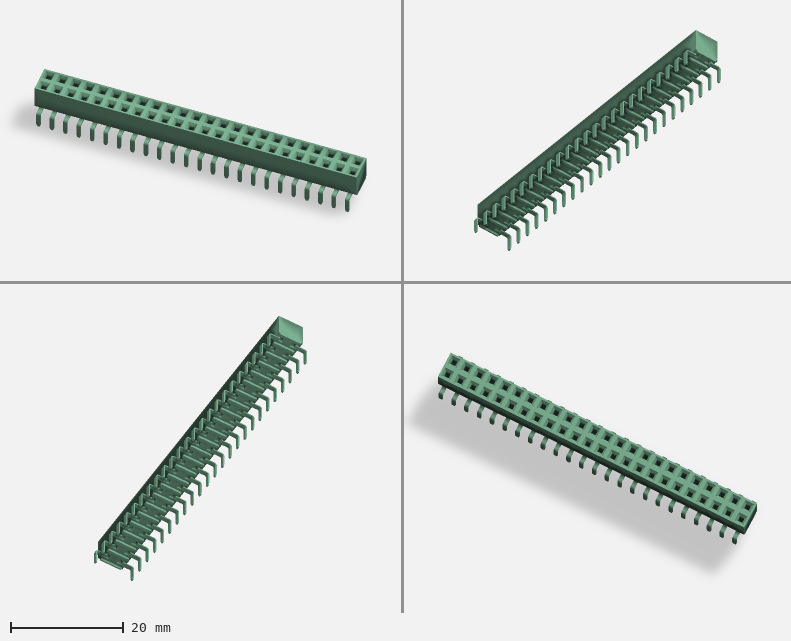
import cadquery as cq

length = 60.95
overall_depth = 7.85
overall_height = 8.0

columns = 24
pitch = length / columns
housing_depth = 5.0
housing_height = 4.6
foot_height = 0.35
foot_setback = 0.35
foot_top_width = 0.75
foot_bottom_width = 0.5

funnel_width = 1.75
funnel_depth = 0.6
hole_width = 0.9

contact_width = 0.8
contact_thickness = 0.25
bend_radius = 0.5
tip_width = 0.5
tip_height = 0.5

row_offset = pitch / 2
stem_inner_y = row_offset + hole_width / 2
contact_outer_y = overall_depth / 2
strip_bottom_z = -foot_height
strip_top_z = strip_bottom_z + contact_thickness
contact_bottom_z = housing_height - overall_height
column_positions = [(i - (columns - 1) / 2) * pitch for i in range(columns)]
foot_positions = [(i - columns / 2) * pitch for i in range(columns + 1)]
socket_centres = [(x, side * row_offset) for x in column_positions for side in (-1, 1)]


def make_housing():
    """Bar with a funnel-mouthed square hole at every contact position."""
    bar = cq.Workplane("XY").box(length, housing_depth, housing_height, centered=(True, True, False))
    holes = (
        cq.Workplane("XY")
        .pushPoints(socket_centres)
        .rect(hole_width, hole_width)
        .extrude(housing_height)
    )
    funnel = (
        cq.Workplane("XY", origin=(0, 0, housing_height - funnel_depth))
        .rect(hole_width, hole_width)
        .workplane(offset=funnel_depth)
        .rect(funnel_width, funnel_width)
        .loft(ruled=True)
        .val()
    )
    funnels = [funnel.translate(cq.Vector(x, y, 0)) for x, y in socket_centres]
    return bar.cut(holes).cut(cq.Workplane(cq.Compound.makeCompound(funnels)))


def make_feet():
    """Tapered ridges under the bar, halved where they meet its two ends."""
    ridge_length = housing_depth - 2 * foot_setback
    ridge = (
        cq.Workplane("XZ")
        .polyline([
            (-foot_top_width / 2, 0),
            (foot_top_width / 2, 0),
            (foot_bottom_width / 2, -foot_height),
            (-foot_bottom_width / 2, -foot_height),
        ])
        .close()
        .extrude(ridge_length / 2, both=True)
        .val()
    )
    ridges = [ridge.translate(cq.Vector(x, 0, 0)) for x in foot_positions]
    envelope = cq.Workplane("XY").box(length, housing_depth, 2 * foot_height)
    return cq.Workplane(cq.Compound.makeCompound(ridges)).intersect(envelope)


def make_contact():
    """One bent contact on the +Y side, centred on X = 0, with a stem and a tapered tip."""
    leg_inner_y = contact_outer_y - contact_thickness
    bend_start_y = contact_outer_y - bend_radius
    bend_end_z = strip_top_z - bend_radius
    inner_bend_radius = bend_radius - contact_thickness
    strip = (
        cq.Workplane("YZ")
        .moveTo(stem_inner_y, 0)
        .lineTo(stem_inner_y + contact_thickness, 0)
        .lineTo(stem_inner_y + contact_thickness, strip_top_z)
        .lineTo(bend_start_y, strip_top_z)
        .radiusArc((contact_outer_y, bend_end_z), bend_radius)
        .lineTo(contact_outer_y, contact_bottom_z)
        .lineTo(leg_inner_y, contact_bottom_z)
        .lineTo(leg_inner_y, bend_end_z)
        .radiusArc((bend_start_y, strip_bottom_z), -inner_bend_radius)
        .lineTo(stem_inner_y, strip_bottom_z)
        .close()
        .extrude(contact_width / 2, both=True)
    )
    shoulder_z = contact_bottom_z + tip_height
    tapered_outline = (
        cq.Workplane("XZ")
        .polyline([
            (-contact_width / 2, 0),
            (contact_width / 2, 0),
            (contact_width / 2, shoulder_z),
            (tip_width / 2, contact_bottom_z),
            (-tip_width / 2, contact_bottom_z),
            (-contact_width / 2, shoulder_z),
        ])
        .close()
        .extrude(-overall_depth)
    )
    return strip.intersect(tapered_outline)


def make_contacts():
    """Both rows of contacts, mirrored about the XZ plane."""
    back = make_contact().val()
    front = back.mirror("XZ")
    return [c.translate(cq.Vector(x, 0, 0)) for x in column_positions for c in (back, front)]


part = make_housing().union(make_feet())
result = part.union(cq.Workplane(cq.Compound.makeCompound(make_contacts())))